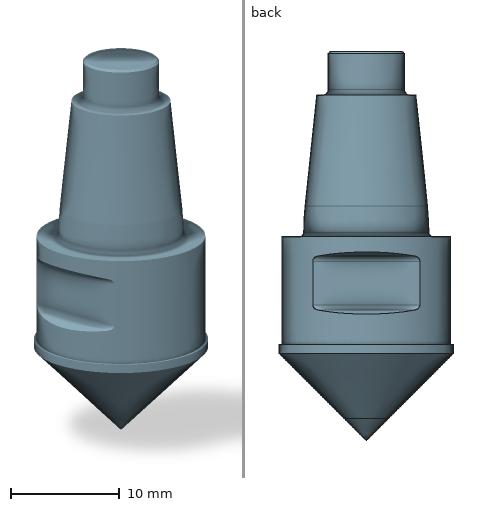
import cadquery as cq
import math


post_radius = 7.0 / 2
post_top_z = 17.0
post_chamfer = 0.2
post_fillet = 0.5

shoulder_z = 13.0
taper_end_z = 2.8
taper_end_radius = 5.62
taper_half_angle = math.radians(6.0)
shoulder_radius = taper_end_radius - (shoulder_z - taper_end_z) * math.tan(taper_half_angle)

seat_fillet = 0.4
root_arc_radius = (taper_end_z - seat_fillet) / math.sin(taper_half_angle)
root_radius = taper_end_radius + root_arc_radius * (1 - math.cos(taper_half_angle))

body_radius = 15.5 / 2
rim_radius = 16.0 / 2
rim_height = 0.8
rim_top_z = -9.9
cone_base_z = rim_top_z - rim_height
point_z = cone_base_z - rim_radius

tip_radius = 2.0
tip_top_z = point_z + tip_radius

flat_offset = 12.0 / 2
flat_center_z = -4.25
flat_mouth_height = 5.7
flat_side_angle = math.radians(15.0)
flat_corner_fillet = 0.5
flat_outer_offset = rim_radius + 1.0


def make_turned_center():
    """Revolved post, shank, body and rim, ending in the truncated cone above the tip."""
    arc_mid_angle = taper_half_angle / 2
    root_arc_middle = (
        root_radius - root_arc_radius * (1 - math.cos(arc_mid_angle)),
        seat_fillet + root_arc_radius * math.sin(arc_mid_angle),
    )
    fillet_reach = 1 - math.sqrt(0.5)
    post_fillet_middle = (
        post_radius + post_fillet * fillet_reach,
        shoulder_z + post_fillet * fillet_reach,
    )
    seat_fillet_middle = (
        root_radius + seat_fillet * fillet_reach,
        seat_fillet * fillet_reach,
    )
    profile = (
        cq.Workplane("XZ")
        .moveTo(0, post_top_z)
        .lineTo(post_radius - post_chamfer, post_top_z)
        .lineTo(post_radius, post_top_z - post_chamfer)
        .lineTo(post_radius, shoulder_z + post_fillet)
        .threePointArc(post_fillet_middle, (post_radius + post_fillet, shoulder_z))
        .lineTo(shoulder_radius, shoulder_z)
        .lineTo(taper_end_radius, taper_end_z)
        .threePointArc(root_arc_middle, (root_radius, seat_fillet))
        .threePointArc(seat_fillet_middle, (root_radius + seat_fillet, 0))
        .lineTo(body_radius, 0)
        .lineTo(body_radius, rim_top_z)
        .lineTo(rim_radius, rim_top_z)
        .lineTo(rim_radius, cone_base_z)
        .lineTo(tip_radius, tip_top_z)
        .lineTo(0, tip_top_z)
        .close()
    )
    return profile.revolve(360, (0, 0), (0, 1))


def make_flat_cutter(side):
    """Bar along X with sloped sides and rounded inner corners; side is -1 or +1 along Y."""
    slope = math.tan(flat_side_angle)
    mouth_half = flat_mouth_height / 2
    inner_half = mouth_half - (body_radius - flat_offset) * slope
    outer_half = mouth_half + (flat_outer_offset - body_radius) * slope
    inner_y = side * flat_offset
    outer_y = side * flat_outer_offset
    return (
        cq.Workplane("YZ")
        .polyline([
            (inner_y, flat_center_z - inner_half),
            (outer_y, flat_center_z - outer_half),
            (outer_y, flat_center_z + outer_half),
            (inner_y, flat_center_z + inner_half),
        ])
        .close()
        .extrude(body_radius, both=True)
        .faces("<Y" if side > 0 else ">Y")
        .edges("|X")
        .fillet(flat_corner_fillet)
    )


def make_center_body():
    """Turned center with both wrench flats cut."""
    body = make_turned_center()
    for side in (-1, 1):
        body = body.cut(make_flat_cutter(side))
    return body


def make_tip():
    """Conical tip that continues the cone of the body down to the point."""
    return (
        cq.Workplane("XZ")
        .polyline([(0, point_z), (tip_radius, tip_top_z), (0, tip_top_z)])
        .close()
        .revolve(360, (0, 0), (0, 1))
    )


center_body = make_center_body()
tip = make_tip()

result = cq.Compound.makeCompound([center_body.val(), tip.val()])